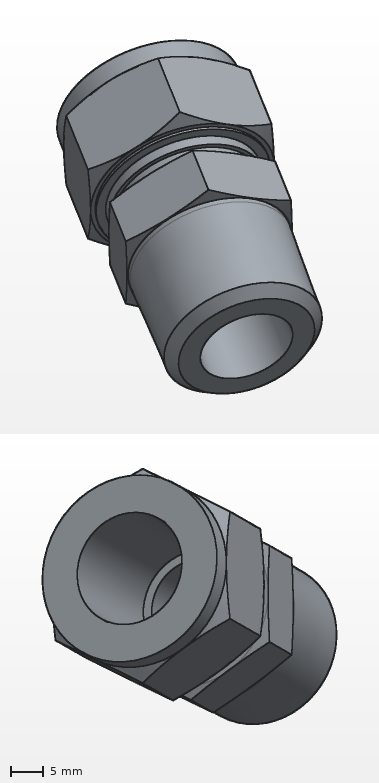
import cadquery as cq
import math


hexagon_sides = 6
corner_direction = 90.0

collar_end = 3.5
nut_hex_end = 17.4
nut_end = 17.9
rim_end = 19.65
neck_end = 22.1
body_hex_end = 31.4
thread_land_end = 32.2
total_length = 50.5

nut_width = 30.0
nut_chamfer_angle = 30.0
nut_washer_diameter = 28.5

body_hex_width = 27.0
body_hex_chamfer_angle = 15.0

rim_diameter = 25.4
neck_diameter = 24.0
thread_large_diameter = 26.65
thread_small_diameter = 25.85
tip_chamfer = 1.8

through_bore_diameter = 15.1
tube_socket_diameter = 18.0
tube_socket_depth = 24.4


def revolve_profile(points):
    """Solid of revolution about X from (x, radius) points."""
    return cq.Workplane("XZ").polyline(points).close().revolve(360, (0, 0, 0), (1, 0, 0))


def cylinder(start, end, diameter):
    """Solid round section between two positions on the axis."""
    radius = diameter / 2
    return revolve_profile([(start, 0), (start, radius), (end, radius), (end, 0)])


def chamfered_hexagon(start, end, width, chamfer_angle):
    """Hexagon with corners on +Z and -Z, each end coned down to a round face as wide as the flats."""
    corner_diameter = width / math.cos(math.pi / hexagon_sides)
    corner_radius = corner_diameter / 2
    face_radius = width / 2
    chamfer_length = (corner_radius - face_radius) * math.tan(math.radians(chamfer_angle))
    hexagon = (
        cq.Workplane("YZ", origin=(start, 0, 0))
        .transformed(rotate=(0, 0, corner_direction))
        .polygon(hexagon_sides, corner_diameter)
        .extrude(end - start)
    )
    envelope = revolve_profile([
        (start, 0),
        (start, face_radius),
        (start + chamfer_length, corner_radius),
        (end - chamfer_length, corner_radius),
        (end, face_radius),
        (end, 0),
    ])
    return hexagon.intersect(envelope)


def tube_nut():
    collar = cylinder(0, collar_end, nut_width)
    hexagon = chamfered_hexagon(collar_end, nut_hex_end, nut_width, nut_chamfer_angle)
    washer = cylinder(nut_hex_end, nut_end, nut_washer_diameter)
    return collar.union(hexagon).union(washer)


def neck():
    rim = cylinder(nut_end, rim_end, rim_diameter)
    return rim.union(cylinder(rim_end, neck_end, neck_diameter))


def body_hexagon():
    return chamfered_hexagon(neck_end, body_hex_end, body_hex_width, body_hex_chamfer_angle)


def tapered_thread():
    large_radius = thread_large_diameter / 2
    taper_end = total_length - tip_chamfer
    small_radius = thread_small_diameter / 2
    return revolve_profile([
        (body_hex_end, 0),
        (body_hex_end, large_radius),
        (thread_land_end, large_radius),
        (taper_end, small_radius),
        (total_length, small_radius - tip_chamfer),
        (total_length, 0),
    ])


def bores():
    through_bore = cylinder(0, total_length, through_bore_diameter)
    return through_bore.union(cylinder(0, tube_socket_depth, tube_socket_diameter))


result = tube_nut().union(neck()).union(body_hexagon()).union(tapered_thread()).cut(bores())